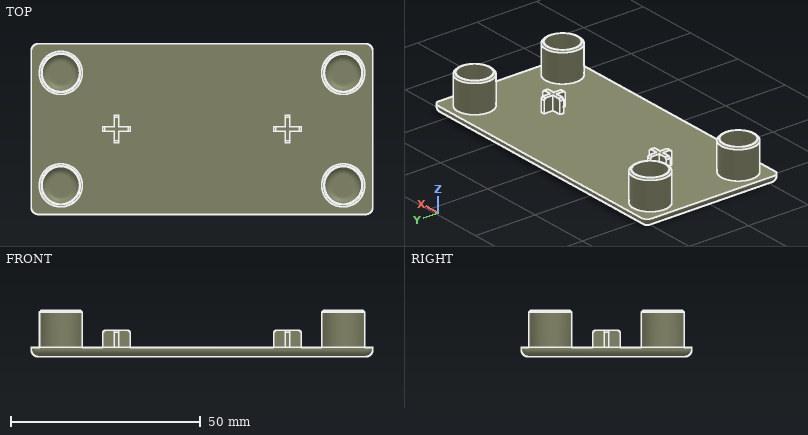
import cadquery as cq

plate_length = 90.0
plate_width = 45.0
plate_thickness = 2.5
edge_radius = 2.0

cup_diameter = 11.3
cup_height = 9.7
cup_bore_diameter = 9.9
cup_floor_radius = 2.0
cup_rim_chamfer = 0.5
cup_spacing_x = 74.3
cup_spacing_y = 29.6

peg_diameter = 7.3
peg_height = 4.5
peg_arm_thickness = 1.3
peg_tip_chamfer = 0.5
peg_spacing = 45.0


def make_plate():
    """Rounded rectangle with a fully rounded lower edge."""
    plate = (
        cq.Workplane("XY")
        .rect(plate_length, plate_width)
        .extrude(-plate_thickness)
        .edges("|Z")
        .fillet(edge_radius)
    )
    return plate.faces("<Z").edges().fillet(edge_radius)


def make_cup():
    """Open cup with a chamfered outer rim and a bore rounded at its floor."""
    cup = cq.Workplane("XY").circle(cup_diameter / 2).extrude(cup_height)
    cup = cup.faces(">Z").edges().chamfer(cup_rim_chamfer)
    bore = cq.Workplane("XY").circle(cup_bore_diameter / 2).extrude(cup_height)
    bore = bore.faces("<Z").edges().fillet(cup_floor_radius)
    return cup.cut(bore)


def make_peg():
    """Two crossing ribs trimmed to a cylinder with a chamfered top."""
    envelope = cq.Workplane("XY").circle(peg_diameter / 2).extrude(peg_height)
    envelope = envelope.faces(">Z").edges().chamfer(peg_tip_chamfer)
    rib_along_x = cq.Workplane("XY").rect(peg_diameter, peg_arm_thickness).extrude(peg_height)
    rib_along_y = cq.Workplane("XY").rect(peg_arm_thickness, peg_diameter).extrude(peg_height)
    return rib_along_x.union(rib_along_y).intersect(envelope)


result = make_plate()

cup = make_cup()
for side_x in (-1, 1):
    for side_y in (-1, 1):
        cup_place = (side_x * cup_spacing_x / 2, side_y * cup_spacing_y / 2, 0)
        result = result.union(cup.translate(cup_place))

peg = make_peg()
for side_x in (-1, 1):
    result = result.union(peg.translate((side_x * peg_spacing / 2, 0, 0)))